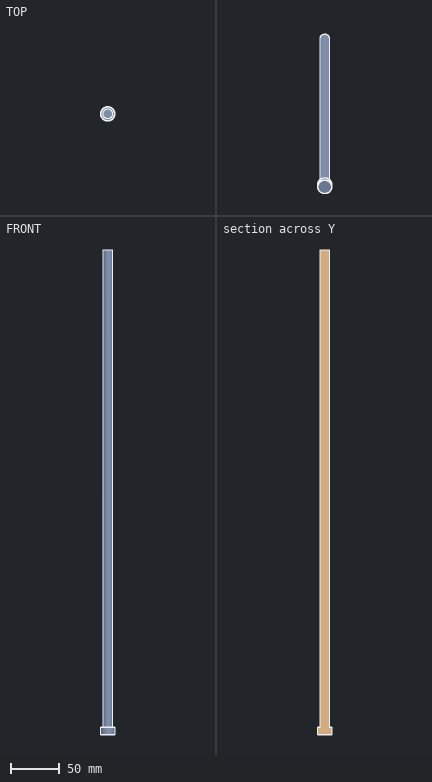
import cadquery as cq

total_length = 500.0
head_diameter = 15.0
head_height = 8.0
shaft_diameter = 10.0
head_edge_chamfer = 0.5


def make_head():
    """Round head standing on Z = 0, with both rims chamfered."""
    head = cq.Workplane("XY").circle(head_diameter / 2).extrude(head_height)
    return head.faces("<Z or >Z").edges().chamfer(head_edge_chamfer)


def make_shaft():
    """Plain round shaft running from the head's base to the flat tip."""
    return cq.Workplane("XY").circle(shaft_diameter / 2).extrude(total_length)


result = make_head().union(make_shaft())